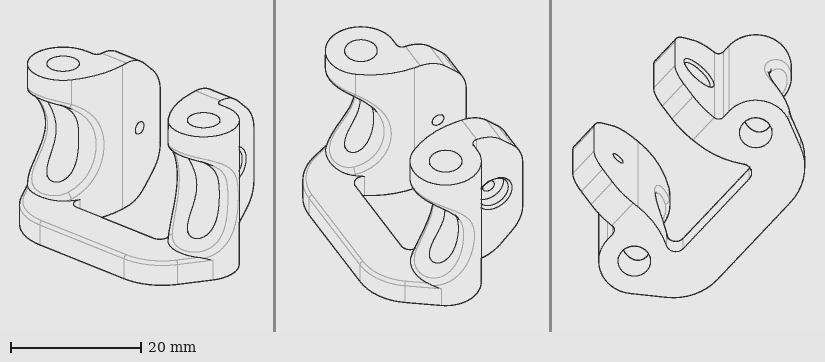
import cadquery as cq
import math

height = 25.0
mid_height = height / 2

post_x = 14.25
post_radius = 5.5
post_hole_diameter = 5.0

ear_inner_x = 7.0
ear_thickness = 5.0
ear_outer_x = ear_inner_x + ear_thickness
ear_back_y = 14.5
ear_root_fillet = 1.0
ear_chamfer = 5.5
ear_corner_radius = 6.0
inner_wall_radius = 15.0

pin_y = 9.6
pin_diameter = 2.0
bore_diameter = 5.2
bore_depth = 2.0
bore_rim_radius = 0.45

scoop_radius = 8.6
scoop_center_y = -7.6
scoop_rim_radius = 1.0
selection_margin = 0.05

plate_thickness = 4.0
plate_front_y = -11.7
plate_back_y = -4.3
plate_corner_radius = 9.0
plate_left_corner_x = 8.93
plate_right_corner_x = 8.18
plate_edge_fillet = 0.5
plate_inner_fillet = 1.5


def point_on_circle(center, radius, angle):
    return (center[0] + radius * math.cos(angle), center[1] + radius * math.sin(angle))


wall_center_x = ear_inner_x + inner_wall_radius
wall_center_y = math.sqrt(
    (inner_wall_radius - post_radius) ** 2 - (wall_center_x - post_x) ** 2
)
wall_center = (wall_center_x, wall_center_y)
wall_end_angle = math.atan2(-wall_center_y, post_x - wall_center_x)


def make_arm_blank():
    """Post and ear on the +X side, with the ear corners cut off and rounded."""
    wall_mid_angle = (math.pi + wall_end_angle % (2 * math.pi)) / 2
    blank = (
        cq.Workplane("XY")
        .moveTo(ear_inner_x, ear_back_y)
        .lineTo(ear_inner_x, wall_center_y)
        .threePointArc(
            point_on_circle(wall_center, inner_wall_radius, wall_mid_angle),
            point_on_circle(wall_center, inner_wall_radius, wall_end_angle),
        )
        .threePointArc(
            point_on_circle((post_x, 0), post_radius, -math.pi / 4),
            (post_x, post_radius),
        )
        .lineTo(ear_outer_x + ear_root_fillet, post_radius)
        .radiusArc((ear_outer_x, post_radius + ear_root_fillet), ear_root_fillet)
        .lineTo(ear_outer_x, ear_back_y)
        .close()
        .extrude(height)
    )
    front_y = -post_radius
    side_profile = (
        cq.Workplane("YZ")
        .center((front_y + ear_back_y) / 2, mid_height)
        .rect(ear_back_y - front_y, height)
        .extrude(post_x + post_radius)
        .edges("|X and >Y")
        .chamfer(ear_chamfer)
        .edges("|X and (not <Y)")
        .fillet(ear_corner_radius)
    )
    return blank.intersect(side_profile)


def cut_scoop(arm):
    """Cut the scoop and round its rim."""
    scoop = (
        cq.Workplane("YZ")
        .center(scoop_center_y, mid_height)
        .circle(scoop_radius)
        .extrude(post_x + 2 * post_radius)
    )
    scooped = arm.cut(scoop)
    rim_box = cq.selectors.BoxSelector(
        (0, -2 * post_radius, mid_height - scoop_radius),
        (2 * post_x, scoop_center_y + scoop_radius + selection_margin, mid_height + scoop_radius),
        boundingbox=True,
    )
    return scooped.edges(rim_box).fillet(scoop_rim_radius)


def make_pin_cutter():
    """Pin hole and counterbore with a flared, rounded mouth, along X."""
    bore_radius = bore_diameter / 2
    bore_floor_x = ear_outer_x - bore_depth
    cutter = (
        cq.Workplane("XY")
        .moveTo(ear_inner_x, 0)
        .lineTo(ear_inner_x, pin_diameter / 2)
        .lineTo(bore_floor_x, pin_diameter / 2)
        .lineTo(bore_floor_x, bore_radius)
        .lineTo(ear_outer_x - bore_rim_radius, bore_radius)
        .radiusArc((ear_outer_x, bore_radius + bore_rim_radius), bore_rim_radius)
        .lineTo(ear_outer_x, 0)
        .close()
        .revolve(360, (0, 0, 0), (1, 0, 0))
    )
    return cutter.translate((0, pin_y, mid_height))


def make_arm():
    arm = cut_scoop(make_arm_blank())
    return arm.cut(make_pin_cutter())


def front_corner(corner_x):
    """Points on the +X side: post tangent, start, middle and end of the corner arc."""
    corner = (corner_x, plate_front_y + plate_corner_radius)
    dx = corner[0] - post_x
    dy = corner[1]
    spread = math.acos((post_radius - plate_corner_radius) / math.hypot(dx, dy))
    angle = math.remainder(math.atan2(dy, dx) + spread, 2 * math.pi)
    return (
        point_on_circle((post_x, 0), post_radius, angle),
        point_on_circle(corner, plate_corner_radius, angle),
        point_on_circle(corner, plate_corner_radius, (angle - math.pi / 2) / 2),
        (corner_x, plate_front_y),
    )


def mirrored(point):
    return (-point[0], point[1])


def make_plate():
    right_tangent, right_start, right_mid, right_end = front_corner(plate_right_corner_x)
    left_tangent, left_start, left_mid, left_end = map(
        mirrored, front_corner(plate_left_corner_x)
    )

    round_y = plate_back_y + plate_inner_fillet
    reach = inner_wall_radius + plate_inner_fillet
    round_x = wall_center_x - math.sqrt(reach ** 2 - (round_y - wall_center_y) ** 2)
    round_center = (round_x, round_y)
    round_angle = math.atan2(wall_center_y - round_y, wall_center_x - round_x)
    inner_start = point_on_circle(round_center, plate_inner_fillet, round_angle)
    inner_mid = point_on_circle(round_center, plate_inner_fillet, (round_angle - math.pi / 2) / 2)
    inner_end = (round_x, plate_back_y)

    plate = (
        cq.Workplane("XY")
        .moveTo(*left_end)
        .lineTo(*right_end)
        .threePointArc(right_mid, right_start)
        .lineTo(*right_tangent)
        .lineTo(post_x, 0)
        .lineTo(*inner_start)
        .threePointArc(inner_mid, inner_end)
        .lineTo(*mirrored(inner_end))
        .threePointArc(mirrored(inner_mid), mirrored(inner_start))
        .lineTo(-post_x, 0)
        .lineTo(*left_tangent)
        .lineTo(*left_start)
        .threePointArc(left_mid, left_end)
        .close()
        .extrude(plate_thickness)
    )
    return plate.faces("<Y").edges(">Z").fillet(plate_edge_fillet)


arm = make_arm()
post_holes = (
    cq.Workplane("XY")
    .pushPoints([(-post_x, 0), (post_x, 0)])
    .circle(post_hole_diameter / 2)
    .extrude(height)
)
result = arm.union(arm.mirror("YZ")).union(make_plate()).cut(post_holes)